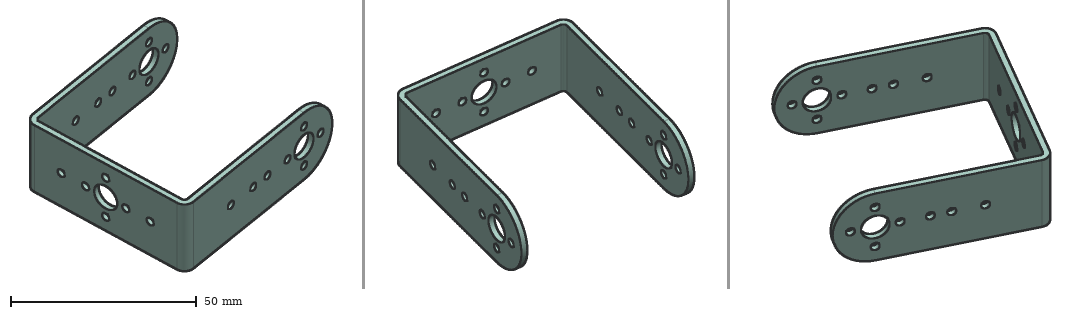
import cadquery as cq

width = 56.0
length = 62.0
height = 24.0
thickness = 2.0
outer_bend_radius = 3.15
inner_bend_radius = outer_bend_radius - thickness

bore_diameter = 8.0
small_diameter = 2.5
ring_radius = 7.0
web_outer_offset = 15.5
arm_extra_offsets = (15.5, 21.5, 31.0)

end_radius = height / 2
pivot_y = length - end_radius

ring_points = [(ring_radius, 0), (-ring_radius, 0), (0, ring_radius), (0, -ring_radius)]


def bent_strip():
    """U-shaped strip with the web along y = 0 and its height centred on z = 0."""
    outer = (
        cq.Workplane("XY")
        .box(width, length, height, centered=(True, False, True))
        .edges("|Z and <Y")
        .fillet(outer_bend_radius)
    )
    inner = (
        cq.Workplane("XY")
        .box(width - 2 * thickness, length, height, centered=(True, False, True))
        .edges("|Z and <Y")
        .fillet(inner_bend_radius)
        .translate((0, thickness, 0))
    )
    return outer.cut(inner)


def arm_side_profile():
    """Solid spanning the width, with the side outline of the arms."""
    return (
        cq.Workplane("YZ")
        .moveTo(0, -end_radius)
        .lineTo(pivot_y, -end_radius)
        .threePointArc((length, 0), (pivot_y, end_radius))
        .lineTo(0, end_radius)
        .close()
        .extrude(width / 2, both=True)
    )


def hole_pins(plane, small_points, depth):
    """Cutting pins for a bore at the plane origin and the given small holes."""
    bore = plane.circle(bore_diameter / 2).extrude(depth, both=True)
    small = plane.pushPoints(small_points).circle(small_diameter / 2).extrude(depth, both=True)
    return bore.union(small)


web_points = ring_points + [(-web_outer_offset, 0), (web_outer_offset, 0)]
web_holes = hole_pins(cq.Workplane("XZ"), web_points, 2 * thickness)

arm_points = ring_points + [(-offset, 0) for offset in arm_extra_offsets]
arm_holes = hole_pins(cq.Workplane("YZ", origin=(0, pivot_y, 0)), arm_points, width)

result = bent_strip().intersect(arm_side_profile()).cut(web_holes).cut(arm_holes)